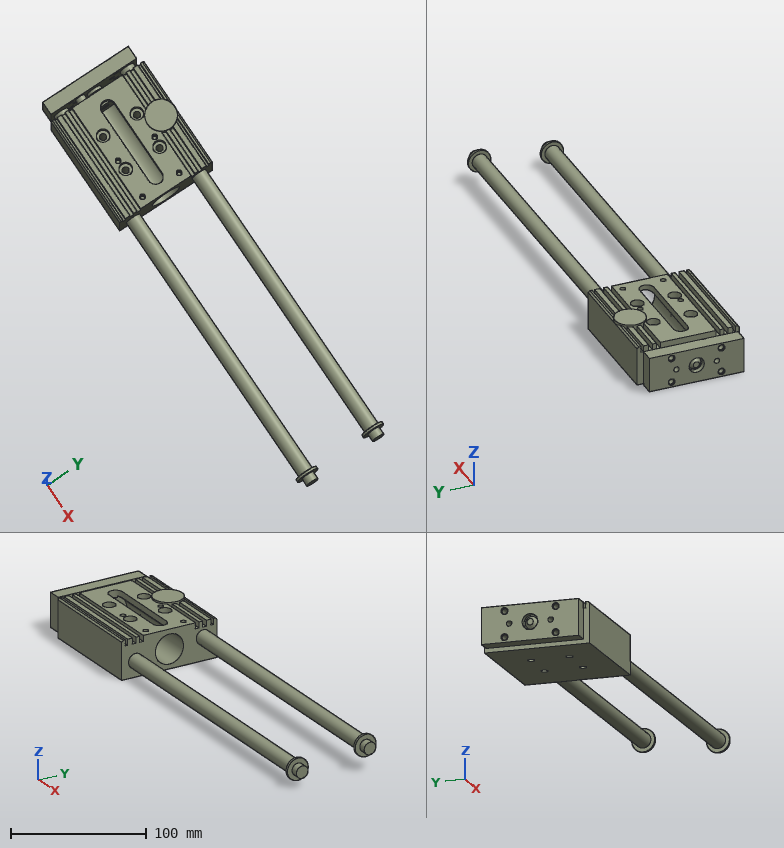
import cadquery as cq

total_length = 345.0

housing_start = 16.0
housing_length = 91.0
housing_width = 82.0
housing_height = 32.0
housing_end = housing_start + housing_length
mid_height = housing_height / 2
edge_chamfer = 1.5

groove_depth = 5.0
groove_edges = [(22.5, 25.5), (28.5, 31.7), (36.0, 38.0)]

badge_diameter = 24.0
badge_thickness = 1.5
badge_x = 57.0
badge_y = (housing_width - badge_diameter) / 2

bore_diameter = 24.0
bore_start = 26.2
slot_start = 24.5
slot_end = 98.5
slot_width = 11.5
slot_depth = 6.0

mount_diameter = 5.2
mount_head_diameter = 10.0
mount_head_depth = 5.2
mount_pitch = 30.0
mount_x = 46.0
mount_xs = [mount_x, mount_x + mount_pitch]
mount_y = mount_pitch / 2

thread_diameter = 4.0
thread_depth = 5.2
thread_core_diameter = 3.25
thread_core_depth = 7.0
thread_xs = [67.5, 100.0]
thread_y = 16.2

plate_thickness = 11.0
plate_width = 76.0
plate_height = 28.3
corner_hole_diameter = 5.2
corner_hole_depth = 1.5
corner_core_diameter = 4.0
corner_hole_y = 20.0
corner_hole_z = 10.0
side_hole_diameter = 4.0
side_hole_y = 16.2

recess_diameter = 12.0
recess_depth = 4.0
head_base_diameter = 10.0
head_top_diameter = 5.0
head_height = 3.5

rod_diameter = 12.0
rod_y = 29.15
rod_stagger = 2.93
tip_diameter = 10.0
tip_length = 6.2
washer_diameter = 18.0
washer_thickness = 2.0
rod_end = total_length - tip_length

piston_rod_diameter = 6.5
collar_diameter = 12.0
collar_thickness = 2.5

stop_rod_diameter = 8.0
stop_rod_y = -12.5
stop_rod_rise = 7.0
stop_rod_end = bore_start


def x_cylinder(diameter, x_start, x_end, y=0.0, rise=0.0):
    """Cylinder along X; rise is its height above the middle of the housing."""
    return (
        cq.Workplane("YZ", origin=(x_start, y, mid_height + rise))
        .circle(diameter / 2)
        .extrude(x_end - x_start)
    )


def block(x_start, length, width, height):
    """Box centred on Y = 0 and on the middle height of the housing."""
    return (
        cq.Workplane("XY", origin=(x_start, 0, mid_height))
        .box(length, width, height, centered=(False, True, True))
    )


def top_plane():
    return cq.Workplane("XY", origin=(0, 0, housing_height))


def guide_rod_places():
    return [(side * rod_y, side * rod_stagger) for side in (-1, 1)]


def make_housing():
    body = block(housing_start, housing_length, housing_width, housing_height)
    body = body.edges("|X and >Z").chamfer(edge_chamfer)

    groove_x = housing_start + housing_length / 2
    for inner, outer in groove_edges:
        grooves = (
            top_plane()
            .pushPoints([(groove_x, side * (inner + outer) / 2) for side in (-1, 1)])
            .rect(housing_length, outer - inner)
            .extrude(-groove_depth)
        )
        body = body.cut(grooves)

    groove_floor = housing_height - groove_depth
    badge = (
        cq.Workplane("XY", origin=(badge_x, badge_y, groove_floor))
        .circle(badge_diameter / 2)
        .extrude(groove_depth + badge_thickness)
    )
    body = body.union(badge)

    mounts = top_plane().pushPoints([(x, side * mount_y) for x in mount_xs for side in (-1, 1)])
    body = body.cut(mounts.circle(mount_diameter / 2).extrude(-housing_height))
    body = body.cut(mounts.circle(mount_head_diameter / 2).extrude(-mount_head_depth))

    threads = top_plane().pushPoints([(x, side * thread_y) for x in thread_xs for side in (-1, 1)])
    body = body.cut(threads.circle(thread_diameter / 2).extrude(-thread_depth))
    body = body.cut(threads.circle(thread_core_diameter / 2).extrude(-thread_core_depth))

    slot = (
        top_plane()
        .center((slot_start + slot_end) / 2, 0)
        .slot2D(slot_end - slot_start, slot_width)
        .extrude(-slot_depth)
    )
    body = body.cut(slot).cut(x_cylinder(bore_diameter, bore_start, housing_end))

    for y, rise in guide_rod_places():
        body = body.cut(x_cylinder(rod_diameter, housing_start, housing_end, y, rise))
    body = body.cut(x_cylinder(piston_rod_diameter, housing_start, bore_start))
    body = body.cut(x_cylinder(stop_rod_diameter, housing_start, stop_rod_end, stop_rod_y, stop_rod_rise))
    return body


def make_end_plate():
    plate = block(0, plate_thickness, plate_width, plate_height)
    corner_places = [(y, z) for y in (-corner_hole_y, corner_hole_y) for z in (-corner_hole_z, corner_hole_z)]
    for y, z in corner_places:
        plate = plate.cut(x_cylinder(corner_hole_diameter, 0, corner_hole_depth, y, z))
        plate = plate.cut(x_cylinder(corner_core_diameter, 0, plate_thickness, y, z))
    for y in (-side_hole_y, side_hole_y):
        plate = plate.cut(x_cylinder(side_hole_diameter, 0, plate_thickness, y))

    plate = plate.cut(x_cylinder(recess_diameter, 0, recess_depth))
    screw_head = (
        cq.Workplane("YZ", origin=(recess_depth - head_height, 0, mid_height))
        .circle(head_top_diameter / 2)
        .workplane(offset=head_height)
        .circle(head_base_diameter / 2)
        .loft()
    )
    return plate.union(screw_head)


def make_slide():
    slide = make_end_plate()
    for y, rise in guide_rod_places():
        slide = slide.union(x_cylinder(rod_diameter, plate_thickness, rod_end, y, rise))
        slide = slide.union(x_cylinder(washer_diameter, rod_end - washer_thickness, rod_end, y, rise))
        slide = slide.union(x_cylinder(tip_diameter, rod_end, total_length, y, rise))

    slide = slide.union(x_cylinder(collar_diameter, plate_thickness, plate_thickness + collar_thickness))
    slide = slide.union(x_cylinder(piston_rod_diameter, plate_thickness, bore_start))
    slide = slide.union(x_cylinder(stop_rod_diameter, plate_thickness, stop_rod_end, stop_rod_y, stop_rod_rise))
    return slide


housing = make_housing()
slide = make_slide()

result = cq.Compound.makeCompound([housing.val(), slide.val()])